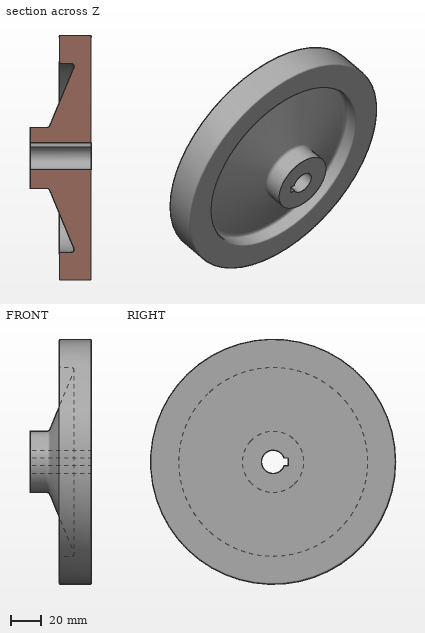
import cadquery as cq
import math

wheel_diameter = 160.0
overall_width = 40.0
rim_width = 21.0
rim_edge_radius = 1.0

hub_diameter = 40.0
hub_fillet_radius = 2.0

web_angle = 22.5
web_start = 12.3

recess_diameter = 123.28
recess_mouth_radius = 1.0
web_outer_diameter = 118.4

bore_diameter = 15.0
keyway_width = 5.0
keyway_reach = 9.8

wheel_radius = wheel_diameter / 2
hub_radius = hub_diameter / 2
recess_radius = recess_diameter / 2
rim_face = overall_width - rim_width

web_lean = math.radians(web_angle)
recess_floor = web_start + (recess_radius - hub_radius) * math.tan(web_lean)
recess_fillet_radius = (recess_radius - web_outer_diameter / 2) / (1 + math.sin(web_lean))

tolerance = 0.01


def ring_at(x, radius):
    """Select the circular edge of the given radius centred on the X axis at x."""

    def edges_within(reach):
        return cq.selectors.BoxSelector(
            (x - tolerance, -reach, -reach), (x + tolerance, reach, reach), boundingbox=True
        )

    return edges_within(radius + tolerance) - edges_within(radius - tolerance)


def make_wheel():
    """Revolve the hub, web and rim profile, then round its corners."""
    wheel = (
        cq.Workplane("XY")
        .moveTo(0, 0)
        .lineTo(0, hub_radius)
        .lineTo(web_start, hub_radius)
        .lineTo(recess_floor, recess_radius)
        .lineTo(rim_face, recess_radius)
        .lineTo(rim_face, wheel_radius)
        .lineTo(overall_width, wheel_radius)
        .lineTo(overall_width, 0)
        .close()
        .revolve(360, (0, 0, 0), (1, 0, 0))
    )
    roundings = [
        (rim_face, wheel_radius, rim_edge_radius),
        (overall_width, wheel_radius, rim_edge_radius),
        (web_start, hub_radius, hub_fillet_radius),
        (rim_face, recess_radius, recess_mouth_radius),
        (recess_floor, recess_radius, recess_fillet_radius),
    ]
    for x, radius, rounding in roundings:
        wheel = wheel.edges(ring_at(x, radius)).fillet(rounding)
    return wheel


def make_bore():
    """Through bore with a keyway on its +Y side."""
    bore = cq.Workplane("YZ").circle(bore_diameter / 2).extrude(overall_width)
    keyway = (
        cq.Workplane("YZ")
        .center(keyway_reach / 2, 0)
        .rect(keyway_reach, keyway_width)
        .extrude(overall_width)
    )
    return bore.union(keyway)


result = make_wheel().cut(make_bore())